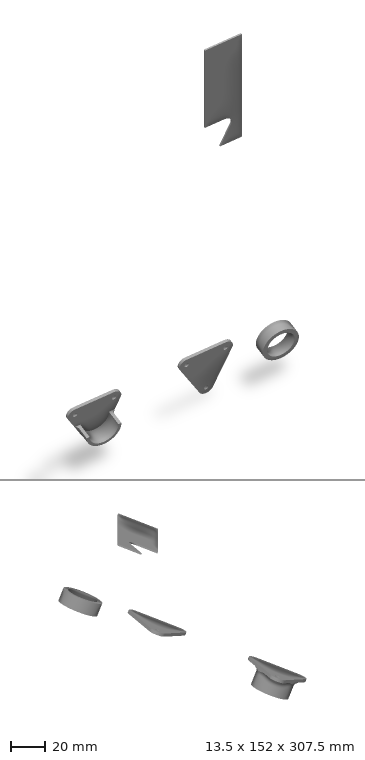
import cadquery as cq
import math

plate_thickness = 2.0
corner_radius = 5.0
corner_spacing = 26.0
corner_drop = 28.0
hole_diameter = 3.0
holder_plate_y = 0.0
plain_plate_y = 75.0

ring_outer_diameter = 24.3
ring_inner_diameter = 18.5
ring_length = 8.0
overall_width = 152.0
ring_y = overall_width - ring_outer_diameter / 2 - (corner_spacing / 2 + corner_radius)
upper_corner_z = 11.0

trough_outer_radius = 11.7
trough_wall = 2.0
trough_end_x = 13.0
trough_rim_z = 0.3
trough_fillet = 2.5

blade_thickness = 1.0
blade_width = 25.0
blade_length = 92.5
blade_notch_height = 22.7
overall_height = 307.5

lower_corner_z = upper_corner_z - corner_drop
plate_bottom_z = lower_corner_z - corner_radius
corner_centers = [
    (-corner_spacing / 2, upper_corner_z),
    (corner_spacing / 2, upper_corner_z),
    (0, lower_corner_z),
]


def plate_outline(depth):
    """Triangle with rounded corners, extruded along +X from X = 0."""
    leg_length = math.hypot(corner_spacing / 2, corner_drop)
    normal_y = corner_radius * corner_drop / leg_length
    normal_z = corner_radius * corner_spacing / 2 / leg_length
    half_spacing = corner_spacing / 2
    top_z = upper_corner_z + corner_radius
    bisector = (math.pi / 2 + math.atan2(-normal_z, normal_y)) / 2
    arc_y = half_spacing + corner_radius * math.cos(bisector)
    arc_z = upper_corner_z + corner_radius * math.sin(bisector)
    return (
        cq.Workplane("YZ")
        .moveTo(-half_spacing, top_z)
        .lineTo(half_spacing, top_z)
        .threePointArc((arc_y, arc_z), (half_spacing + normal_y, upper_corner_z - normal_z))
        .lineTo(normal_y, lower_corner_z - normal_z)
        .threePointArc((0, plate_bottom_z), (-normal_y, lower_corner_z - normal_z))
        .lineTo(-half_spacing - normal_y, upper_corner_z - normal_z)
        .threePointArc((-arc_y, arc_z), (-half_spacing, top_z))
        .close()
        .extrude(depth)
    )


def make_plate():
    """Plate with a hole at each corner centre."""
    holes = (
        cq.Workplane("YZ")
        .pushPoints(corner_centers)
        .circle(hole_diameter / 2)
        .extrude(plate_thickness)
    )
    return plate_outline(plate_thickness).cut(holes)


def make_trough():
    """Half-round trough, with a root fillet trimmed to the plate outline."""
    tube = cq.Workplane("YZ").circle(trough_outer_radius).extrude(trough_end_x)
    fillet_end_x = plate_thickness + trough_fillet
    flare_radius = trough_outer_radius + trough_fillet
    arc_reach = trough_fillet * (1 - math.sqrt(0.5))
    flare = (
        cq.Workplane("XY")
        .lineTo(0, flare_radius)
        .lineTo(plate_thickness, flare_radius)
        .threePointArc(
            (plate_thickness + arc_reach, trough_outer_radius + arc_reach),
            (fillet_end_x, trough_outer_radius),
        )
        .lineTo(fillet_end_x, 0)
        .close()
        .revolve(360, (0, 0, 0), (1, 0, 0))
        .intersect(plate_outline(fillet_end_x))
    )
    bore = cq.Workplane("YZ").circle(trough_outer_radius - trough_wall).extrude(trough_end_x)
    lower_half = (
        cq.Workplane("YZ")
        .rect(2 * flare_radius, 2 * flare_radius)
        .extrude(trough_end_x)
        .translate((0, 0, trough_rim_z - flare_radius))
    )
    in_front_of_plate = (
        cq.Workplane("YZ", origin=(plate_thickness, 0, 0))
        .rect(2 * flare_radius, 2 * flare_radius)
        .extrude(trough_end_x)
    )
    return tube.union(flare).cut(bore).intersect(lower_half).intersect(in_front_of_plate)


def make_holder():
    """Plate carrying the half-round trough."""
    return make_plate().union(make_trough()).translate((0, holder_plate_y, 0))


def make_ring():
    return (
        cq.Workplane("YZ", origin=(0, ring_y, 0))
        .circle(ring_outer_diameter / 2)
        .circle(ring_inner_diameter / 2)
        .extrude(ring_length)
    )


def make_blade():
    """Blade centred on X = 0, one edge in line with the middle of the plain plate."""
    blade_bottom_z = plate_bottom_z + overall_height - blade_length
    notch_top_z = blade_bottom_z + blade_notch_height
    notch_shift_z = notch_top_z - (upper_corner_z + corner_radius)
    blade = cq.Workplane("XY").box(
        blade_thickness, blade_width, blade_length, centered=(True, False, False)
    ).translate((0, 0, blade_bottom_z))
    notch = plate_outline(blade_thickness).translate((-blade_thickness / 2, 0, notch_shift_z))
    return blade.cut(notch)


holder = make_holder()
plain_plate = make_plate().translate((0, plain_plate_y, 0))
ring = make_ring()
blade = make_blade().translate((0, plain_plate_y, 0))

result = cq.Compound.makeCompound([holder.val(), plain_plate.val(), ring.val(), blade.val()])